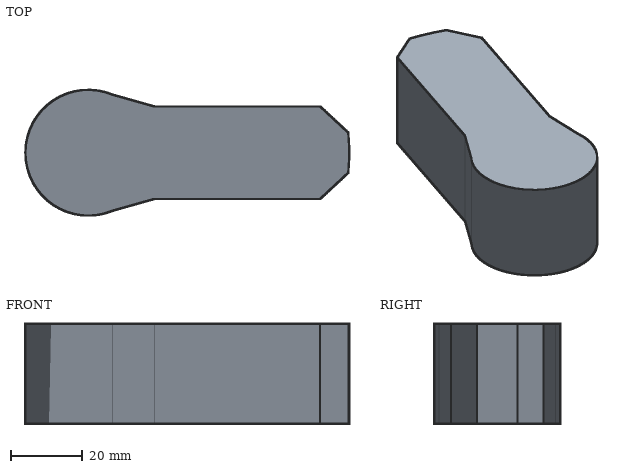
import cadquery as cq
import math

length = 90.7
height = 28.0
head_diameter = 35.3

arm_width = 25.9
neck_start_offset = 6.8
neck_end_offset = 18.5

bevel_length = 7.9
tip_width = 11.25
crown_height = 0.3

head_radius = head_diameter / 2
tip_x = length - head_radius
bevel_end_x = tip_x - crown_height
bevel_start_x = bevel_end_x - bevel_length
neck_start_y = math.sqrt(head_radius**2 - neck_start_offset**2)
arm_y = arm_width / 2
tip_y = tip_width / 2

outline = (
    cq.Workplane("XY")
    .moveTo(neck_start_offset, -neck_start_y)
    .lineTo(neck_end_offset, -arm_y)
    .lineTo(bevel_start_x, -arm_y)
    .lineTo(bevel_end_x, -tip_y)
    .threePointArc((tip_x, 0), (bevel_end_x, tip_y))
    .lineTo(bevel_start_x, arm_y)
    .lineTo(neck_end_offset, arm_y)
    .lineTo(neck_start_offset, neck_start_y)
    .threePointArc((-head_radius, 0), (neck_start_offset, -neck_start_y))
    .close()
)

result = outline.extrude(height)